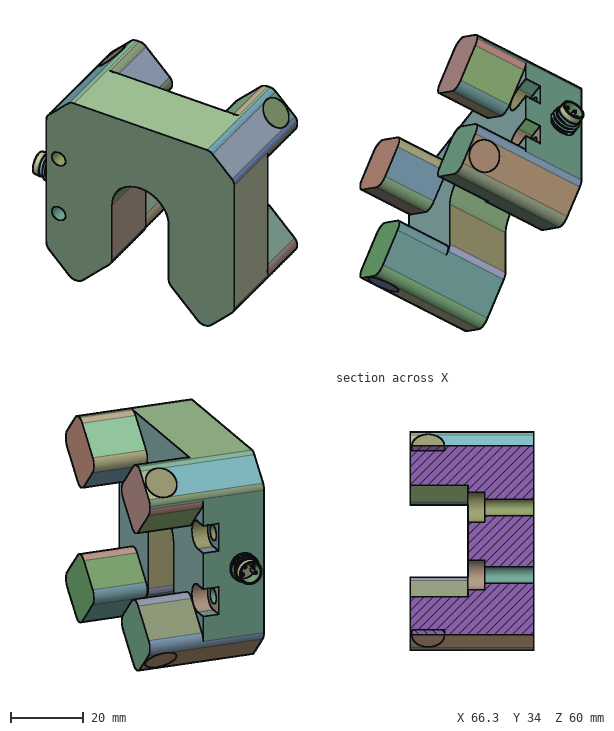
import cadquery as cq
import math

ROOT2 = math.sqrt(2)
SAME_POINT = 6.63e-07

OVERALL_LENGTH = 66.3
SIZE = 60.0
HALF = SIZE / 2
DEPTH = 34.0
PLATE_DEPTH = 18.15
FRONT_Y = -DEPTH / 2
BACK_Y = DEPTH / 2
PLATE_BACK_Y = FRONT_Y + PLATE_DEPTH

SLOT_RADIUS = 9.0
TOP_CHAMFER = 7.7
TOP_CORNER_RADIUS = 2.5
ARM_WIDTH = 15.25
ARM_RADIUS = 3.1
ARM_INNER_DISTANCE = 19.75

UPPER_FACE_DISTANCE = (SIZE - TOP_CHAMFER) / ROOT2
LOWER_FACE_DISTANCE = ROOT2 * (HALF - ARM_RADIUS) + 2 * ARM_RADIUS - ARM_WIDTH / 2

HOLE_DIAMETER = 4.4
HOLE_X = -HALF + 4.0
HOLE_SPACING = 18.55
HEAD_SLOT_WIDTH = 8.0
HEAD_SLOT_DEPTH = 4.65

LENS_DIAMETER = 8.95
LENS_THICKNESS = 1.0
LENS_Y = BACK_Y - 5.0

CONNECTOR_LENGTH = OVERALL_LENGTH - SIZE
CONNECTOR_Y = FRONT_Y + 6.6
SHELL_RADIUS = 3.3
COLLAR_RADIUS = 3.45
COLLAR_START = 1.6
COLLAR_END = 2.05
SOCKET_RADIUS = 2.9
SOCKET_DEPTH = 4.0
PIN_RADIUS = 0.45
PIN_LENGTH = 3.0
PIN_TIP_CHAMFER = 0.2
PIN_PLACES = [(-1.2, 1.5), (1.2, 1.5), (-1.9, -0.65), (1.9, -0.65)]
THREAD_RADIUS = 4.0
THREAD_PITCH = 1.16
THREAD_START = 3.05
THREAD_END = 6.0
THREAD_RUN_IN = 0.45
THREAD_ROOT_WIDTH = 1.0
THREAD_SINK = 0.1


def on_diagonal(along, across):
    """X and Z of a point at a distance along the (+X, +Z) diagonal and across it, towards -X and +Z."""
    return (along - across) / ROOT2, (along + across) / ROOT2


def rounded_prism(corners, start_y, end_y):
    """Prism along Y whose outline has the given (x, z, radius) corners."""
    arcs = []
    for i, (x, z, radius) in enumerate(corners):
        corner = cq.Vector(x, z)
        to_last = (cq.Vector(*corners[i - 1][:2]) - corner).normalized()
        to_next = (cq.Vector(*corners[(i + 1) % len(corners)][:2]) - corner).normalized()
        half_angle = to_last.getAngle(to_next) / 2
        setback = radius / math.tan(half_angle)
        bisector = (to_last + to_next).normalized()
        middle = corner + bisector * (radius / math.sin(half_angle) - radius)
        arcs.append((corner + to_last * setback, middle, corner + to_next * setback))

    outline = cq.Workplane("XZ", origin=(0, end_y, 0)).moveTo(*arcs[0][0].toTuple()[:2])
    pen = arcs[0][0]
    for start, middle, end in arcs:
        if (start - pen).Length > SAME_POINT:
            outline = outline.lineTo(start.x, start.y)
        outline = outline.threePointArc((middle.x, middle.y), (end.x, end.y))
        pen = end
    return outline.close().extrude(end_y - start_y)


def fork_plate():
    leg_reach, leg_tip_x = on_diagonal(LOWER_FACE_DISTANCE, -ARM_WIDTH / 2)
    leg_tip_z = -leg_reach
    side_shoulder_z = HALF - LOWER_FACE_DISTANCE * ROOT2
    slot_shoulder_z = leg_tip_z + leg_tip_x - SLOT_RADIUS
    right_side = [
        (HALF - TOP_CHAMFER, HALF, TOP_CORNER_RADIUS),
        (HALF, HALF - TOP_CHAMFER, TOP_CORNER_RADIUS),
        (HALF, side_shoulder_z, ARM_RADIUS),
        (leg_tip_x, leg_tip_z, ARM_RADIUS),
        (SLOT_RADIUS, slot_shoulder_z, ARM_RADIUS),
        (SLOT_RADIUS, SLOT_RADIUS, SLOT_RADIUS),
    ]
    left_side = [(-x, z, radius) for x, z, radius in reversed(right_side)]
    return rounded_prism(right_side + left_side, FRONT_Y, PLATE_BACK_Y)


def arm_inner_corners():
    """The two inner corners of an arm on the (+X, +Z) diagonal, from its upper to its lower side."""
    return [
        (*on_diagonal(ARM_INNER_DISTANCE, ARM_WIDTH / 2), ARM_RADIUS),
        (*on_diagonal(ARM_INNER_DISTANCE, -ARM_WIDTH / 2), ARM_RADIUS),
    ]


def upper_arm():
    """Upper right arm, cut off by the top, the right side and the chamfer of the housing."""
    side_reach = HALF - ARM_WIDTH / ROOT2
    outer_corners = [
        (HALF, side_reach, ARM_RADIUS),
        (HALF, HALF - TOP_CHAMFER, TOP_CORNER_RADIUS),
        (HALF - TOP_CHAMFER, HALF, TOP_CORNER_RADIUS),
        (side_reach, HALF, ARM_RADIUS),
    ]
    return rounded_prism(arm_inner_corners() + outer_corners, PLATE_BACK_Y, BACK_Y)


def lower_arm():
    """Lower right arm, a plain rounded bar."""
    outer_corners = [
        (*on_diagonal(LOWER_FACE_DISTANCE, -ARM_WIDTH / 2), ARM_RADIUS),
        (*on_diagonal(LOWER_FACE_DISTANCE, ARM_WIDTH / 2), ARM_RADIUS),
    ]
    return rounded_prism(arm_inner_corners() + outer_corners, PLATE_BACK_Y, BACK_Y).mirror("XY")


def mounting_cuts():
    """Two through holes with screw head recesses that open to the -X side."""
    centres = [(HOLE_X, -HOLE_SPACING / 2), (HOLE_X, HOLE_SPACING / 2)]
    back = cq.Workplane("XZ", origin=(0, PLATE_BACK_Y, 0))
    holes = back.pushPoints(centres).circle(HOLE_DIAMETER / 2).extrude(PLATE_DEPTH)
    slot_centres = [(-HALF, z) for _, z in centres]
    slot_length = 2 * (HOLE_X + HALF) + HEAD_SLOT_WIDTH
    recesses = back.pushPoints(slot_centres).slot2D(slot_length, HEAD_SLOT_WIDTH).extrude(HEAD_SLOT_DEPTH)
    return holes.union(recesses)


def lens(angle, face_distance):
    """Disc flush with the outer arm face that lies at the given angle from +X towards +Z."""
    disc = cq.Workplane("YZ", origin=(face_distance - LENS_THICKNESS, LENS_Y, 0))
    disc = disc.circle(LENS_DIAMETER / 2).extrude(LENS_THICKNESS)
    return disc.rotate((0, 0, 0), (0, 1, 0), -angle)


def thread_ridge():
    """Helical ridge of triangular section about +X, with the open end of the connector at X = 0."""
    root_radius = SHELL_RADIUS - THREAD_SINK
    helix_length = THREAD_END - THREAD_START + 2 * THREAD_RUN_IN
    helix = cq.Wire.makeHelix(THREAD_PITCH, helix_length, root_radius)
    section = cq.Workplane("XZ").polyline([
        (root_radius, -THREAD_ROOT_WIDTH / 2),
        (THREAD_RADIUS, 0),
        (root_radius, THREAD_ROOT_WIDTH / 2),
    ]).close()
    ridge = section.sweep(cq.Workplane(helix), isFrenet=True)
    ridge = ridge.rotate((0, 0, 0), (0, 1, 0), 90).translate((THREAD_START - THREAD_RUN_IN, 0, 0))
    zone = cq.Workplane("YZ", origin=(THREAD_START, 0, 0)).circle(2 * THREAD_RADIUS)
    return ridge.intersect(zone.extrude(THREAD_END - THREAD_START))


def connector():
    """Threaded plug shell with its pins, standing on the -X side of the housing."""
    open_end = cq.Workplane("YZ")
    shell = open_end.circle(SHELL_RADIUS).extrude(CONNECTOR_LENGTH)
    collar_section = cq.Workplane("XY").polyline([
        (0, 0),
        (0, SHELL_RADIUS),
        (COLLAR_START, COLLAR_RADIUS),
        (COLLAR_END, COLLAR_RADIUS),
        (COLLAR_END, 0),
    ]).close()
    collar = collar_section.revolve(360, (0, 0, 0), (1, 0, 0))
    socket = open_end.circle(SOCKET_RADIUS).extrude(SOCKET_DEPTH)
    pin_base = open_end.workplane(offset=SOCKET_DEPTH - PIN_LENGTH)
    pins = pin_base.pushPoints(PIN_PLACES).circle(PIN_RADIUS).extrude(PIN_LENGTH)
    pins = pins.faces("<X").chamfer(PIN_TIP_CHAMFER)
    plug = shell.union(collar).union(thread_ridge()).cut(socket).union(pins)
    return plug.translate((-HALF - CONNECTOR_LENGTH, CONNECTOR_Y, 0))


def housing_body(lenses):
    body = fork_plate()
    for arm in (upper_arm(), lower_arm()):
        body = body.union(arm).union(arm.mirror("YZ"))
    body = body.cut(mounting_cuts()).union(connector())
    for disc in lenses:
        body = body.cut(disc)
    return body


LENS_SEATS = [
    (45, UPPER_FACE_DISTANCE),
    (135, UPPER_FACE_DISTANCE),
    (225, LOWER_FACE_DISTANCE),
    (315, LOWER_FACE_DISTANCE),
]
lenses = [lens(angle, face_distance) for angle, face_distance in LENS_SEATS]
housing = housing_body(lenses)

result = cq.Compound.makeCompound([housing.val(), *[disc.val() for disc in lenses]])